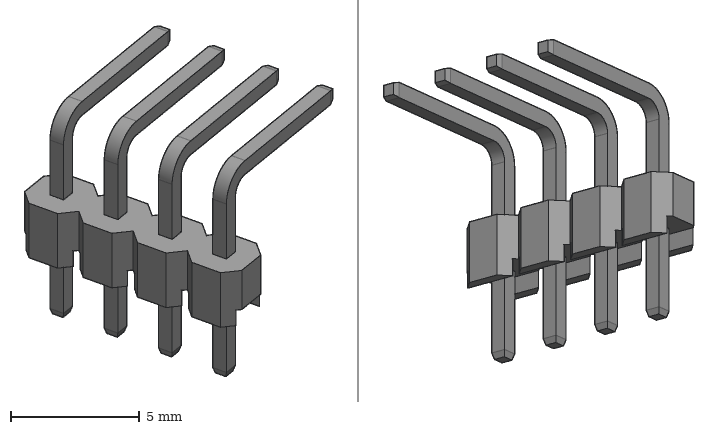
import cadquery as cq


pin_count = 4
pitch = 2.54
row_length = pin_count * pitch
overall_depth = 8.52
overall_height = 9.39

cell_size = 2.53
corner_cut = 0.6
foot_height = 0.71
foot_end_inset = 0.16
channel_width = 1.63

pin_width = 0.64
tail_length = 3.0
pin_top = overall_height - tail_length
arm_reach = overall_depth - cell_size / 2
bend_outer_radius = 1.31
bend_inner_radius = bend_outer_radius - pin_width
tip_length = 0.26
tip_inset = 0.076


def housing_cell(x):
    """Octagonal block for one pin, standing on two feet."""
    block = cq.Workplane("XY").box(pitch, cell_size, cell_size, centered=(True, True, False))
    block = block.edges("|Z").chamfer(corner_cut)
    channel = cq.Workplane("XY").box(pitch, channel_width, foot_height, centered=(True, True, False))
    block = block.cut(channel)
    for side in (-1, 1):
        gap = cq.Workplane("XY").box(2 * foot_end_inset, cell_size, foot_height, centered=(True, True, False))
        block = block.cut(gap.translate((side * pitch / 2, 0, 0)))
    return block.translate((x, 0, 0))


def tapered_tip():
    """Pin tip with its base on Z = 0, narrowing upward."""
    end_width = pin_width - 2 * tip_inset
    base = cq.Workplane("XY").rect(pin_width, pin_width)
    return base.workplane(offset=tip_length).rect(end_width, end_width).loft(ruled=True)


def bent_pin(x):
    """Square pin with a vertical leg, a rounded bend and an arm along +Y."""
    half = pin_width / 2
    leg_end = tip_length - tail_length
    arm_end = arm_reach - tip_length
    arm_axis_height = pin_top - half

    bar = (
        cq.Workplane("YZ")
        .moveTo(-half, leg_end)
        .lineTo(-half, pin_top - bend_outer_radius)
        .radiusArc((bend_outer_radius - half, pin_top), bend_outer_radius)
        .lineTo(arm_end, pin_top)
        .lineTo(arm_end, pin_top - pin_width)
        .lineTo(half + bend_inner_radius, pin_top - pin_width)
        .radiusArc((half, pin_top - bend_outer_radius), -bend_inner_radius)
        .lineTo(half, leg_end)
        .close()
        .extrude(half, both=True)
    )
    leg_tip = tapered_tip().rotate((0, 0, 0), (1, 0, 0), 180).translate((0, 0, leg_end))
    arm_tip = tapered_tip().rotate((0, 0, 0), (1, 0, 0), -90).translate((0, arm_end, arm_axis_height))
    return bar.union(leg_tip).union(arm_tip).translate((x, 0, 0))


result = cq.Workplane("XY")
for index in range(pin_count):
    pin_x = (index + 0.5) * pitch - row_length / 2
    result = result.union(housing_cell(pin_x)).union(bent_pin(pin_x))
result = result.clean()